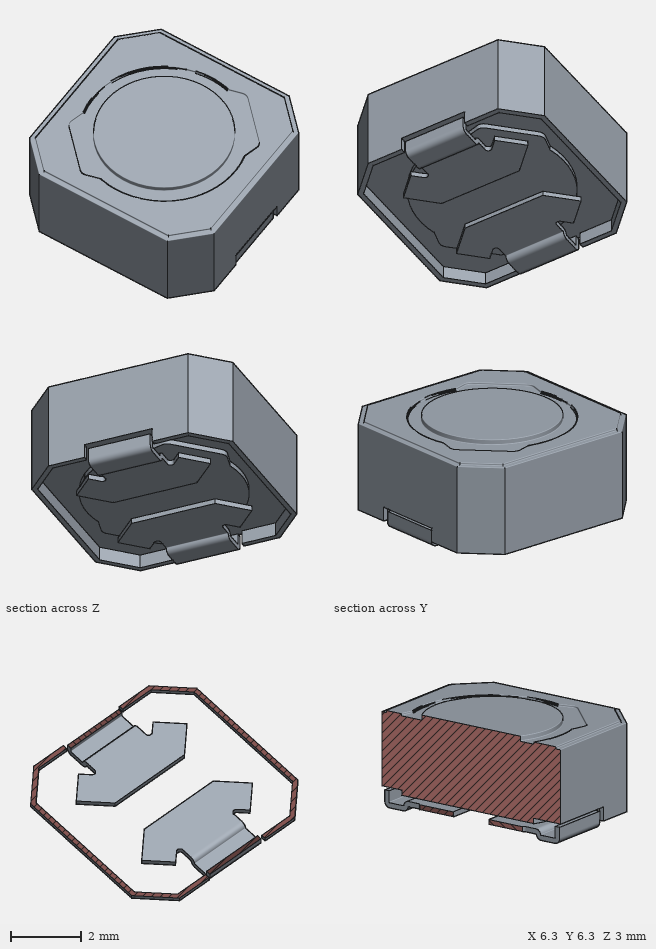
import cadquery as cq
import math

TOTAL_HEIGHT = 3.0
HOUSING_BOTTOM = 0.2
RIM_TOP = 2.85
PLATE_TOP = 2.91
EDGE_FILLET = 0.02

HOUSING_WIDTH = 6.3
CORNER_CUT = 0.965
WALL = 0.16

CORE_RADIUS = 2.015
RECESS_RADIUS = 2.42
LOBE_REACH = 2.6
LOBE_HALF_WIDTH = 0.925
LOBE_SIDE_ANGLE = 30.0
LOBE_CORNER_RADIUS = 0.25
LOBE_DIRECTION = 45.0

CAVITY_TOP = 0.625
CORE_BOTTOM = 0.465
NOTCH_WIDTH = 2.115

SHEET = 0.16
LEAD_WIDTH = 1.94
LEAD_OUTER_X = 3.08
LEAD_TIP_TOP = 0.51
STEP_X = 2.43
BEND_INNER_RADIUS = 0.02
PAD_INNER_X = 0.625
PAD_SHOULDER_X = 1.8
ARM_REACH = 2.48
ARM_WIDTH = 0.97
PAD_FILLET = 0.095


def octagon_prism(inset, bottom, top):
    """Square prism with cut corners, its sides set in evenly from the housing sides."""
    width = HOUSING_WIDTH - 2 * inset
    cut = CORNER_CUT - inset * (2 - math.sqrt(2))
    prism = cq.Workplane("XY").workplane(offset=bottom).rect(width, width).extrude(top - bottom)
    return prism.edges("|Z").chamfer(cut)


def lobed_prism(bottom, top):
    """Cylinder joined by two opposite trapezoidal lobes with rounded outer corners."""
    height = top - bottom
    base = cq.Workplane("XY").workplane(offset=bottom)
    root_half_width = LOBE_HALF_WIDTH + LOBE_REACH * math.tan(math.radians(LOBE_SIDE_ANGLE))
    lobe = (
        base.polyline([
            (0, -root_half_width),
            (LOBE_REACH, -LOBE_HALF_WIDTH),
            (LOBE_REACH, LOBE_HALF_WIDTH),
            (0, root_half_width),
        ])
        .close()
        .extrude(height)
        .edges("|Z and >X")
        .fillet(LOBE_CORNER_RADIUS)
    )
    prism = base.circle(RECESS_RADIUS).extrude(height)
    for turn in (0, 180):
        prism = prism.union(lobe.rotate((0, 0, 0), (0, 0, 1), LOBE_DIRECTION + turn))
    return prism


def build_housing():
    """Housing with its core: one block, hollow underneath."""
    block = octagon_prism(0, HOUSING_BOTTOM, RIM_TOP)

    plate = octagon_prism(WALL, RIM_TOP, PLATE_TOP).cut(lobed_prism(RIM_TOP, PLATE_TOP))

    core_face = cq.Workplane("XY").workplane(offset=RIM_TOP).circle(CORE_RADIUS)
    core_face = core_face.extrude(TOTAL_HEIGHT - RIM_TOP)

    body = block.union(plate).union(core_face)
    step_edges = body.edges("not |Z").filter(lambda edge: edge.Center().z > RIM_TOP - EDGE_FILLET)
    body = step_edges.fillet(EDGE_FILLET)

    cavity = octagon_prism(WALL, HOUSING_BOTTOM, CAVITY_TOP)
    core_end = lobed_prism(CORE_BOTTOM, CAVITY_TOP)

    notches = cq.Workplane("XY").workplane(offset=HOUSING_BOTTOM).rect(HOUSING_WIDTH, NOTCH_WIDTH)
    notches = notches.extrude(CAVITY_TOP - HOUSING_BOTTOM)

    return body.cut(cavity).cut(notches).union(core_end)


def arc_point(center, radius, angle):
    """Point on a circle, with the angle in radians from the X axis."""
    return (center[0] + radius * math.cos(angle), center[1] + radius * math.sin(angle))


def terminal_lead():
    """Bent strip: upright tip, flat soldering foot and the S-shaped step up to the pad."""
    inner = BEND_INNER_RADIUS
    outer = inner + SHEET

    step_angle = math.acos(1 - SHEET / (inner + outer))
    step_run = (inner + outer) * math.sin(step_angle)
    tip_center = (-LEAD_OUTER_X + outer, outer)
    foot_center = (-STEP_X, outer)
    pad_center = (-STEP_X + step_run, SHEET - inner)

    down = -math.pi / 2
    up = math.pi / 2
    tip_middle = -3 * math.pi / 4
    foot_middle = down + step_angle / 2
    foot_end = down + step_angle
    pad_middle = up + step_angle / 2
    pad_end = up + step_angle

    profile = (
        cq.Workplane("XZ")
        .moveTo(-LEAD_OUTER_X, LEAD_TIP_TOP)
        .lineTo(-LEAD_OUTER_X, outer)
        .threePointArc(arc_point(tip_center, outer, tip_middle), arc_point(tip_center, outer, down))
        .lineTo(-STEP_X, 0)
        .threePointArc(arc_point(foot_center, outer, foot_middle), arc_point(foot_center, outer, foot_end))
        .threePointArc(arc_point(pad_center, inner, pad_middle), arc_point(pad_center, inner, up))
        .lineTo(-PAD_INNER_X, SHEET)
        .lineTo(-PAD_INNER_X, 2 * SHEET)
        .lineTo(pad_center[0], 2 * SHEET)
        .threePointArc(arc_point(pad_center, outer, pad_middle), arc_point(pad_center, outer, pad_end))
        .threePointArc(arc_point(foot_center, inner, foot_middle), arc_point(foot_center, inner, down))
        .lineTo(tip_center[0], SHEET)
        .threePointArc(arc_point(tip_center, inner, tip_middle), (-LEAD_OUTER_X + SHEET, outer))
        .lineTo(-LEAD_OUTER_X + SHEET, LEAD_TIP_TOP)
        .close()
    )
    return profile.extrude(LEAD_WIDTH / 2, both=True)


def terminal_pad():
    """Flat pad with two arms that reach out along the diagonals."""
    pad_plane = cq.Workplane("XY").workplane(offset=SHEET)

    end = ARM_REACH * math.sqrt(0.5)
    half = ARM_WIDTH / 2 * math.sqrt(0.5)
    outer_corner = (-end - half, end - half)
    inner_corner = (-end + half, end + half)
    shoulder_y = PAD_SHOULDER_X - 2 * half
    inner_y = PAD_INNER_X + 2 * half

    upper_edge = [
        (-PAD_SHOULDER_X, shoulder_y),
        outer_corner,
        inner_corner,
        (-PAD_INNER_X, inner_y),
    ]
    lower_edge = [(x, -y) for x, y in reversed(upper_edge)]
    return pad_plane.polyline(upper_edge + lower_edge).close().extrude(SHEET)


def build_terminal():
    """Terminal on the -X side, with its inside corners rounded."""
    terminal = terminal_lead().union(terminal_pad())
    half_lead = LEAD_WIDTH / 2
    shoulder_y = PAD_SHOULDER_X - ARM_WIDTH * math.sqrt(0.5)
    for side in (-1, 1):
        for corner_y in (half_lead, shoulder_y):
            corner = (-PAD_SHOULDER_X, side * corner_y, 1.5 * SHEET)
            terminal = terminal.edges(cq.selectors.NearestToPointSelector(corner)).fillet(PAD_FILLET)
    return terminal


housing = build_housing()
terminal = build_terminal()
terminals = [terminal.rotate((0, 0, 0), (0, 0, 1), turn) for turn in (0, 180)]

result = cq.Compound.makeCompound([housing.val(), *[body.val() for body in terminals]])